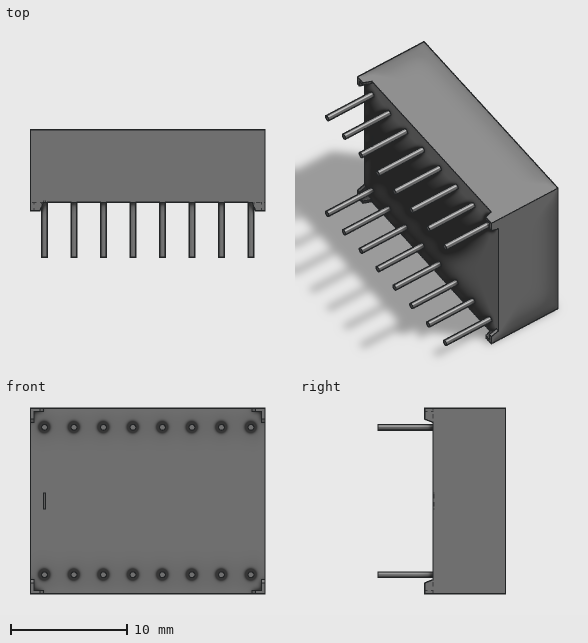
import cadquery as cq

body_width = 20.2
body_height = 16.0
body_depth = 6.26

pin_length = 4.75
pin_diameter = 0.5
pin_count = 8
pin_row_span = 17.78
pin_pitch = pin_row_span / (pin_count - 1)
row_spacing = 5 * pin_pitch

foot_height = 0.73
foot_wall = 0.3
foot_tip_x = 0.83
foot_root_x = 1.11
foot_tip_z = 0.95
foot_root_z = 1.23

slot_width = 0.15
slot_length = 1.4
slot_depth = 0.1
slot_x = -pin_row_span / 2


def make_body():
    block = cq.Workplane("XY").box(body_width, body_depth, body_height)
    return block.translate((0, body_depth / 2, 0))


def make_pins():
    return (
        cq.Workplane("XZ")
        .rarray(pin_pitch, row_spacing, pin_count, 2)
        .circle(pin_diameter / 2)
        .extrude(pin_length)
    )


def foot_arm(plane, root, tip):
    """One arm of a foot: a wall from the origin whose free end slopes from root to tip."""
    profile = [(0, 0), (root, 0), (tip, -foot_height), (0, -foot_height)]
    return cq.Workplane(plane).polyline(profile).close()


def make_corner_foot():
    """Foot for the low-X, low-Z corner."""
    arm_x = foot_arm("XY", foot_root_x, foot_tip_x).extrude(foot_wall)
    z_plane = cq.Plane(origin=(0, 0, 0), xDir=(0, 0, 1), normal=(-1, 0, 0))
    arm_z = foot_arm(z_plane, foot_root_z, foot_tip_z).extrude(-foot_wall)
    return arm_x.union(arm_z).translate((-body_width / 2, 0, -body_height / 2))


def make_feet():
    foot = make_corner_foot()
    lower_feet = foot.union(foot.mirror("YZ"))
    return lower_feet.union(lower_feet.mirror("XY"))


def make_slot():
    return (
        cq.Workplane("XY")
        .box(slot_width, slot_depth, slot_length)
        .translate((slot_x, slot_depth / 2, 0))
    )


result = make_body().union(make_feet()).union(make_pins()).cut(make_slot())